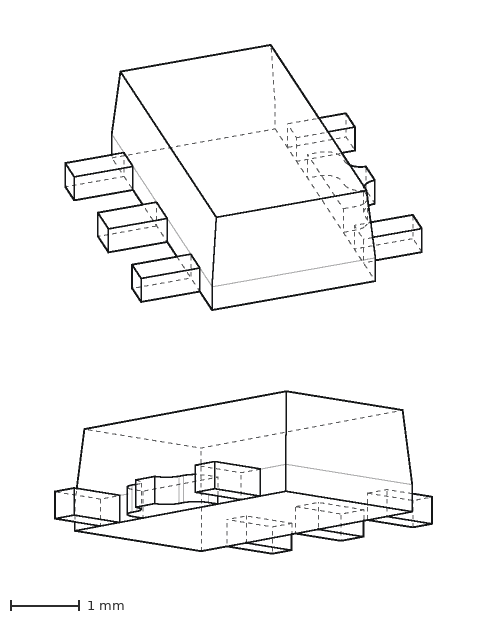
import cadquery as cq

housing_length = 4.5
housing_width = 2.5
housing_height = 1.5
cap_inset = 0.1

overall_width = 4.3
lead_thickness = 0.4
lead_pitch = 1.5
outer_lead_width = 0.41
centre_lead_width = 0.48

tab_width = 1.6
tab_shoulder = 0.445
tab_reach = 0.695
tip_width = 0.41
tab_corner_radius = 0.25

back_face = housing_width / 2
lead_length = (overall_width - housing_width) / 2


def make_housing():
    base = cq.Workplane("XY").box(
        housing_length, housing_width, lead_thickness, centered=(True, True, False)
    )
    cap = (
        cq.Workplane("XY", origin=(0, 0, lead_thickness))
        .rect(housing_length, housing_width)
        .workplane(offset=housing_height - lead_thickness)
        .rect(housing_length - 2 * cap_inset, housing_width - 2 * cap_inset)
        .loft(ruled=True)
    )
    return base.union(cap)


def make_lead(x, side, width):
    """Straight lead centred on x; side is 1 for the back face, -1 for the front."""
    y = side * (back_face + lead_length / 2)
    return (
        cq.Workplane("XY", origin=(x, y, 0))
        .box(width, lead_length, lead_thickness, centered=(True, True, False))
    )


def make_heat_tab():
    """Tab with rounded shoulders that sweep up to a narrow tip in concave arcs."""
    half_tab = tab_width / 2
    half_tip = tip_width / 2
    shoulder_y = back_face + tab_shoulder
    tip_y = back_face + tab_reach
    sweep_radius = tab_reach - tab_shoulder
    return (
        cq.Workplane("XY")
        .moveTo(-half_tab, back_face)
        .lineTo(half_tab, back_face)
        .lineTo(half_tab, shoulder_y - tab_corner_radius)
        .radiusArc((half_tab - tab_corner_radius, shoulder_y), -tab_corner_radius)
        .lineTo(half_tip + sweep_radius, shoulder_y)
        .radiusArc((half_tip, tip_y), sweep_radius)
        .lineTo(-half_tip, tip_y)
        .radiusArc((-half_tip - sweep_radius, shoulder_y), sweep_radius)
        .lineTo(-half_tab + tab_corner_radius, shoulder_y)
        .radiusArc((-half_tab, shoulder_y - tab_corner_radius), -tab_corner_radius)
        .close()
        .extrude(lead_thickness)
    )


housing = make_housing()
outer_leads = [
    make_lead(x, side, outer_lead_width)
    for side in (-1, 1)
    for x in (-lead_pitch, lead_pitch)
]
centre_lead = make_lead(0, -1, centre_lead_width)
heat_tab = make_heat_tab()

result = cq.Compound.makeCompound(
    [housing.val(), *[lead.val() for lead in outer_leads], centre_lead.val(), heat_tab.val()]
)